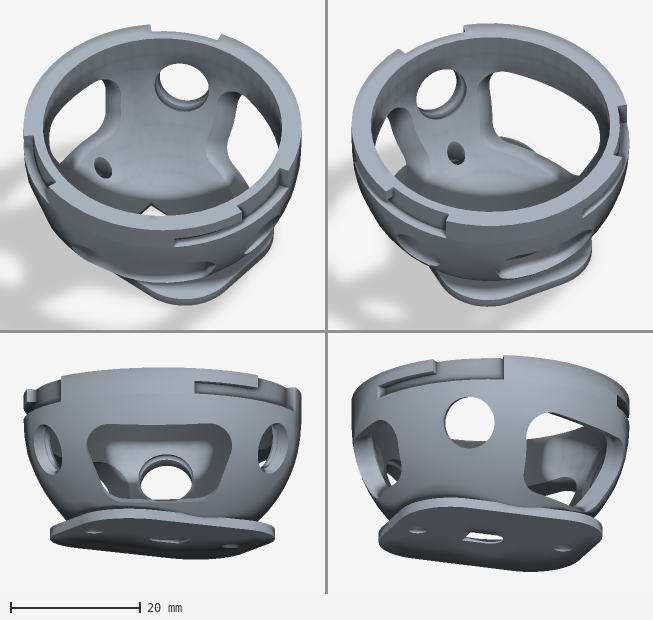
import cadquery as cq
import math

OUTER_RADIUS = 43.0 / 2
INNER_RADIUS = 37.0 / 2

SEAM_AZIMUTH = 145.0

RIM_HEIGHT = 4.0
SLOT_ROOT_RADIUS = 20.0
GROOVE_HEIGHT = 2.0
ENTRY_HALF_ANGLE = 15.0
GROOVE_SWEEP = 60.0
RIM_CUT_MARGIN = 1.0

FLOOR_THICKNESS = 0.15
PLATE_LENGTH = 32.5
PLATE_WIDTH = 25.0
PLATE_THICKNESS = 1.5
PLATE_CORNER_RADIUS = 8.0
PLATE_BOTTOM = -(INNER_RADIUS + FLOOR_THICKNESS)

SCREW_HOLE_DIAMETER = 2.8
SCREW_HOLE_OFFSET = 12.0
SHAFT_HOLE_RADIUS = 2.0
SHAFT_HOLE_FLAT_X = -4.0

PORT_TILT = 18.0
WINDOW_TILT = 20.0
SLOT_AND_PORT_AZIMUTHS = (0.0, 120.0, 240.0)

PORT_DIAMETER = 8.0
PORT_SEAT_DIAMETER = 9.5
PORT_SEAT_START = 18.0
PORT_SEAT_END = 19.2

WINDOW_FILLET = 3.8
WINDOW_SIDE_SLOPE = 21.0
LARGE_WINDOW_AZIMUTHS = (60.0, 300.0)
LARGE_WINDOW_TOP = 2.5
LARGE_WINDOW_BOTTOM = -10.0
LARGE_WINDOW_BOTTOM_WIDTH = 16.4
SMALL_WINDOW_AZIMUTH = 180.0
SMALL_WINDOW_TOP = 3.9
SMALL_WINDOW_BOTTOM = -6.1
SMALL_WINDOW_BOTTOM_WIDTH = 12.4

CUT_START = 8.0
CUT_END = 30.0


def bowl_profile_solid(radius):
    """Lower half ball of the given radius, continued upward as a cylinder to the rim."""
    diagonal = radius * math.sqrt(0.5)
    return (
        cq.Workplane("XZ")
        .moveTo(0, RIM_HEIGHT)
        .lineTo(radius, RIM_HEIGHT)
        .lineTo(radius, 0)
        .threePointArc((diagonal, -diagonal), (0, -radius))
        .close()
        .revolve(360, (0, 0, 0), (0, 1, 0))
        .rotate((0, 0, 0), (0, 0, 1), SEAM_AZIMUTH)
    )


def side_plane(azimuth, tilt_angle):
    """Plane through the bowl centre whose normal points outward and down at an azimuth."""
    turn = math.radians(azimuth)
    tilt = math.radians(tilt_angle)
    normal = (
        math.cos(tilt) * math.cos(turn),
        math.cos(tilt) * math.sin(turn),
        -math.sin(tilt),
    )
    return cq.Plane(origin=(0, 0, 0), xDir=(-math.sin(turn), math.cos(turn), 0), normal=normal)


def window_cutter(azimuth, top, bottom, bottom_width):
    """Rounded trapezoid prism, wider at its top."""
    bottom_half = bottom_width / 2
    top_half = bottom_half + (top - bottom) * math.tan(math.radians(WINDOW_SIDE_SLOPE))
    outline = [(-bottom_half, bottom), (bottom_half, bottom), (top_half, top), (-top_half, top)]
    plane = side_plane(azimuth, WINDOW_TILT)
    return (
        cq.Workplane(plane)
        .workplane(offset=CUT_START)
        .polyline(outline)
        .close()
        .extrude(CUT_END - CUT_START)
        .edges(cq.selectors.ParallelDirSelector(plane.zDir))
        .fillet(WINDOW_FILLET)
    )


def port_cutter(azimuth):
    """Round through hole with a seat whose rim is undercut behind the inner sphere."""
    plane = side_plane(azimuth, PORT_TILT)
    hole = (
        cq.Workplane(plane)
        .workplane(offset=CUT_START)
        .circle(PORT_DIAMETER / 2)
        .extrude(CUT_END - CUT_START)
    )
    seat = (
        cq.Workplane(plane)
        .workplane(offset=PORT_SEAT_START)
        .circle(PORT_SEAT_DIAMETER / 2)
        .extrude(PORT_SEAT_END - PORT_SEAT_START)
    )
    return hole.union(seat)


def rim_sector(start_angle, end_angle, height):
    """Sector of the rim outside the slot root, standing on the foot of the ring."""

    def at(radius, angle):
        turn = math.radians(angle)
        return (radius * math.cos(turn), radius * math.sin(turn))

    cut_radius = OUTER_RADIUS + RIM_CUT_MARGIN
    middle = (start_angle + end_angle) / 2
    return (
        cq.Workplane("XY")
        .moveTo(*at(SLOT_ROOT_RADIUS, start_angle))
        .lineTo(*at(cut_radius, start_angle))
        .threePointArc(at(cut_radius, middle), at(cut_radius, end_angle))
        .lineTo(*at(SLOT_ROOT_RADIUS, end_angle))
        .threePointArc(at(SLOT_ROOT_RADIUS, middle), at(SLOT_ROOT_RADIUS, start_angle))
        .close()
        .extrude(height)
    )


def bayonet_cutter(azimuth):
    """Full-height entry notch joined to a low groove that runs on clockwise."""
    entry_end = azimuth + ENTRY_HALF_ANGLE
    entry = rim_sector(azimuth - ENTRY_HALF_ANGLE, entry_end, RIM_HEIGHT)
    groove = rim_sector(entry_end - GROOVE_SWEEP, entry_end, GROOVE_HEIGHT)
    return entry.union(groove)


def base_plate():
    return (
        cq.Workplane("XY", origin=(0, 0, PLATE_BOTTOM))
        .rect(PLATE_LENGTH, PLATE_WIDTH)
        .extrude(PLATE_THICKNESS)
        .edges("|Z")
        .fillet(PLATE_CORNER_RADIUS)
    )


def floor_cutter():
    """Two screw holes and a D-shaped shaft opening through the floor."""
    base = cq.Workplane("XY", origin=(0, 0, PLATE_BOTTOM))
    screw_places = [(-SCREW_HOLE_OFFSET, 0), (SCREW_HOLE_OFFSET, 0)]
    screws = base.pushPoints(screw_places).circle(SCREW_HOLE_DIAMETER / 2).extrude(INNER_RADIUS)
    shaft = (
        base.moveTo(SHAFT_HOLE_FLAT_X, -SHAFT_HOLE_RADIUS)
        .lineTo(0, -SHAFT_HOLE_RADIUS)
        .threePointArc((SHAFT_HOLE_RADIUS, 0), (0, SHAFT_HOLE_RADIUS))
        .lineTo(SHAFT_HOLE_FLAT_X, SHAFT_HOLE_RADIUS)
        .close()
        .extrude(INNER_RADIUS)
    )
    return screws.union(shaft)


below_plate = cq.Workplane("XY", origin=(0, 0, PLATE_BOTTOM)).circle(OUTER_RADIUS).extrude(-OUTER_RADIUS)
body = bowl_profile_solid(OUTER_RADIUS).cut(below_plate).union(base_plate())
body = body.cut(bowl_profile_solid(INNER_RADIUS)).cut(floor_cutter())

for window_azimuth in LARGE_WINDOW_AZIMUTHS:
    body = body.cut(
        window_cutter(window_azimuth, LARGE_WINDOW_TOP, LARGE_WINDOW_BOTTOM, LARGE_WINDOW_BOTTOM_WIDTH)
    )
body = body.cut(
    window_cutter(SMALL_WINDOW_AZIMUTH, SMALL_WINDOW_TOP, SMALL_WINDOW_BOTTOM, SMALL_WINDOW_BOTTOM_WIDTH)
)
for slot_azimuth in SLOT_AND_PORT_AZIMUTHS:
    body = body.cut(port_cutter(slot_azimuth)).cut(bayonet_cutter(slot_azimuth))

result = body